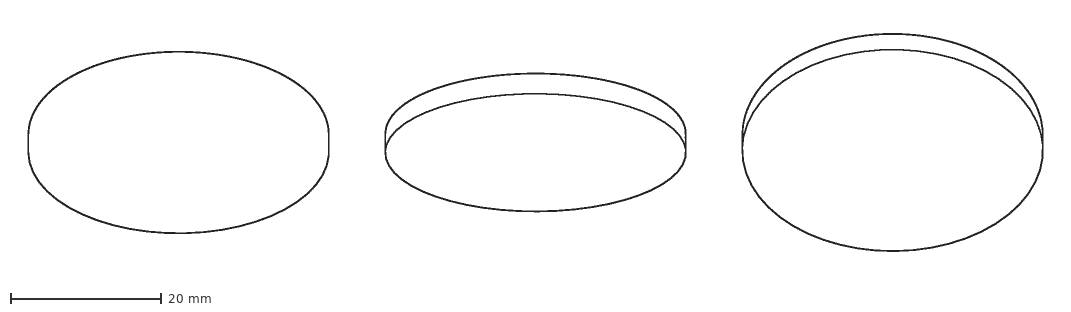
import cadquery as cq
import math

outer_diameter = 40.0
height = 5.0
rim_height = 3.0
cone_angle = 15.0
rim_fillet = 0.5

outer_radius = outer_diameter / 2
cone_run = (height - rim_height) / math.tan(math.radians(cone_angle))
top_radius = outer_radius - cone_run


def disc_body():
    """Round disc with a conical shoulder and a flat top, revolved about Z."""
    half_profile = (
        cq.Workplane("XZ")
        .moveTo(0, 0)
        .lineTo(outer_radius, 0)
        .lineTo(outer_radius, rim_height)
        .lineTo(top_radius, height)
        .lineTo(0, height)
        .close()
    )
    return half_profile.revolve(360, (0, 0, 0), (0, 1, 0))


def round_rim(body):
    """Round the circular edge where the straight side meets the cone."""
    rim_edge = cq.selectors.RadiusNthSelector(-1)
    above_base = body.edges("%CIRCLE").edges("not <Z")
    return above_base.edges(rim_edge).fillet(rim_fillet)


result = round_rim(disc_body())